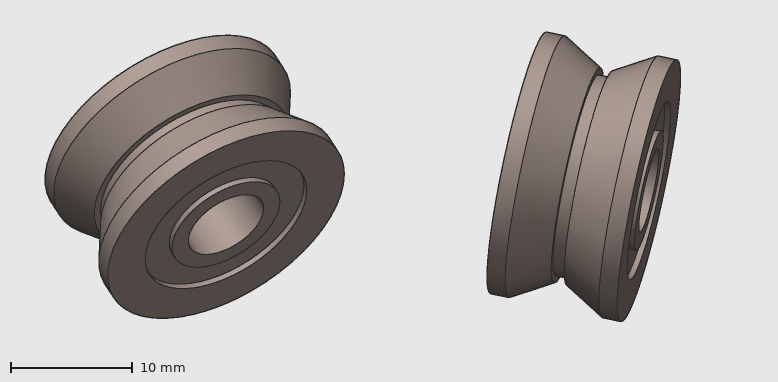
import cadquery as cq
import math

width = 11.0
outer_diameter = 22.0
bore_diameter = 7.0

rim_width = 1.55
relief_width = 1.1
relief_diameter = 16.9
flank_angle = 30.0

hub_diameter = 10.0
recess_diameter = 15.0
recess_depth = 0.5

half_width = width / 2
outer_radius = outer_diameter / 2
flank_length = half_width - rim_width - relief_width / 2
flank_end_radius = outer_radius - flank_length * math.tan(math.radians(flank_angle))


def make_wheel_body():
    """Revolve the grooved half section about the X axis."""
    bore_radius = bore_diameter / 2
    relief_radius = relief_diameter / 2
    half_relief = relief_width / 2
    rim_edge = half_width - rim_width
    section = [
        (-half_width, bore_radius),
        (-half_width, outer_radius),
        (-rim_edge, outer_radius),
        (-half_relief, flank_end_radius),
        (-half_relief, relief_radius),
        (half_relief, relief_radius),
        (half_relief, flank_end_radius),
        (rim_edge, outer_radius),
        (half_width, outer_radius),
        (half_width, bore_radius),
    ]
    return cq.Workplane("XY").polyline(section).close().revolve(360, (0, 0, 0), (1, 0, 0))


def make_recess(start_x):
    """Ring of material removed from a side face, starting at start_x."""
    return (
        cq.Workplane("YZ", origin=(start_x, 0, 0))
        .circle(recess_diameter / 2)
        .circle(hub_diameter / 2)
        .extrude(recess_depth)
    )


result = make_wheel_body()
for recess_start in (-half_width, half_width - recess_depth):
    result = result.cut(make_recess(recess_start))